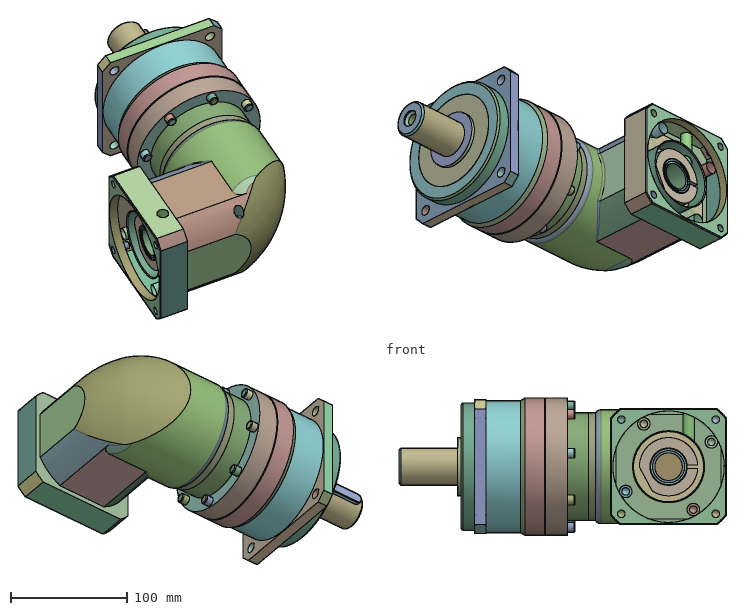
import cadquery as cq
import math

motor_x = 232.2
motor_face_y = -105.5

shaft_radius = 16.0
shaft_chamfer = 1.7
collar_start = 50.5
collar_radius = 25.0
centre_bore_radius = 5.0
centre_bore_depth = 22.5
centre_recess_radius = 7.3
centre_recess_depth = 1.5

key_start = 4.2
key_length = 40.5
key_width = 10.0
key_bottom = 11.0
key_top = 19.0
key_chamfer = 0.5

pilot_start = 53.3
pilot_radius = 55.0
pilot_chamfer = 1.7
face_recess_radius = 42.5
face_recess_depth = 0.3
plate_start = 65.2
plate_end = 74.8
plate_side = 115.5
plate_corner = 8.0
plate_hole_pitch = 92.0
plate_hole_diameter = 9.0
barrel_radius = 57.0
barrel_end = 104.7
rim_start = 108.5
rim_radius = 59.2
housing_end = 125.5

rear_groove_width = 0.5
rear_groove_depth = 0.5
ring_end = 145.0
neck_radius = 46.5
neck_end = 163.0
screw_count = 8
screw_circle_radius = 53.5
screw_first_angle = 32.5
screw_head_radius = 4.2
screw_head_height = 6.8
screw_head_chamfer = 0.8

elbow_shoulder = 168.7
elbow_round = 5.0
elbow_radius = 49.0
leg_radius = 51.0
leg_side = 90.3
outer_point = (245.0, 16.5)
outer_bulge = 10.5
outer_trim_depth = 22.5
outer_arc_radius = 107.2
outer_girth_radius = 76.2
crest_round = 19.7
throat_round = 1.7
plug_hole_x = 266.3
plug_hole_y = -22.0
plug_hole_diameter = 8.5
plug_hole_floor = 28.2

flange_side = 100.0
flange_thickness = 26.2
flange_corner_radius = 65.2
flange_edge_chamfer = 0.8
flange_hole_pitch = 81.2
flange_hole_diameter = 6.5
flange_hole_depth = 14.0
motor_pilot_radius = 48.0
motor_pilot_depth = 8.0
clamp_room_radius = 30.2
clamp_room_chamfer = 0.8
flange_screw_count = 4
flange_screw_circle_radius = 42.5
flange_screw_first_angle = 30.0
flange_screw_recess_diameter = 10.7
flange_screw_recess_depth = 18.3
flange_screw_socket_diameter = 6.5
flange_screw_socket_depth = 4.2
access_hole_diameter = 10.0
clamp_screw_offset = 17.5
clamp_screw_y = -87.0

clamp_face_depth = 12.7
clamp_radius = 25.0
clamp_slit_width = 2.8
clamp_flat_distance = 22.3
clamp_flat_angle = 208.0
clamp_screw_diameter = 6.2
clamp_screw_floor = 8.5
hub_radius = 16.0
hub_chamfer = 0.5
hub_length = 50.8
hub_bore_radius = 11.8
hub_bore_depth = 39.5
hub_mouth_radius = 13.8
hub_mouth_depth = 0.8

drill_tip_angle = 118.0

flange_back_y = motor_face_y + flange_thickness
clamp_face_y = motor_face_y + clamp_face_depth
pilot_floor_y = motor_face_y + motor_pilot_depth
clamp_length = flange_back_y - clamp_face_y
hub_end_y = clamp_face_y + hub_length


def cylinder_x(radius, start, end):
    """Round bar on the output axis."""
    return cq.Workplane("YZ", origin=(start, 0, 0)).circle(radius).extrude(end - start)


def motor_plane(y):
    """Plane square to the motor axis, facing -Y, with local x along X and local y along Z."""
    return cq.Workplane(cq.Plane(origin=(motor_x, y, 0), xDir=(1, 0, 0), normal=(0, -1, 0)))


def cylinder_y(radius, start, end):
    """Round bar on the motor axis."""
    return motor_plane(end).circle(radius).extrude(end - start)


def revolve_x(points):
    """Body of revolution about the output axis from (x, radius) points."""
    return cq.Workplane("XY").polyline(points).close().revolve(360, (0, 0, 0), (1, 0, 0))


def tip_length(radius):
    """Length of the cone that a drill leaves at the bottom of a hole."""
    return radius / math.tan(math.radians(drill_tip_angle / 2))


def drilled_hole(diameter, depth, entry_y, positions):
    """Blind drilled holes with conical tips, entering in the +Y direction."""
    radius = diameter / 2
    drill = (
        cq.Workplane("XY")
        .polyline([(0, 0), (radius, 0), (radius, depth), (0, depth + tip_length(radius))])
        .close()
        .revolve(360, (0, 0, 0), (0, 1, 0))
        .val()
    )
    holes = [drill.translate(cq.Vector(motor_x + x, entry_y, z)) for x, z in positions]
    return cq.Workplane("XY").newObject([cq.Compound.makeCompound(holes)])


def make_key():
    """Round-ended key on the +Y side of the shaft."""
    middle_x = key_start + key_length / 2
    return (
        cq.Workplane("XZ", origin=(middle_x, key_bottom, 0))
        .slot2D(key_length, key_width)
        .extrude(key_bottom - key_top)
        .faces(">Y")
        .chamfer(key_chamfer)
    )


def make_output_shaft(shaft_key):
    """Shaft with its seal collar, centre hole and key seat."""
    body = cylinder_x(shaft_radius, 0, collar_start).faces("<X").chamfer(shaft_chamfer)
    body = body.union(cylinder_x(collar_radius, collar_start, plate_start))
    cone_end = centre_recess_depth + centre_recess_radius - centre_bore_radius
    centre_bore = revolve_x([
        (0, 0),
        (0, centre_recess_radius),
        (centre_recess_depth, centre_recess_radius),
        (cone_end, centre_bore_radius),
        (centre_bore_depth, centre_bore_radius),
        (centre_bore_depth + tip_length(centre_bore_radius), 0),
    ])
    return body.cut(centre_bore).cut(shaft_key)


def make_front_housing():
    """Pilot, square mounting plate and round barrel."""
    body = revolve_x([
        (pilot_start, 0),
        (pilot_start, pilot_radius - pilot_chamfer),
        (pilot_start + pilot_chamfer, pilot_radius),
        (plate_start, pilot_radius),
        (plate_start, barrel_radius),
        (barrel_end, barrel_radius),
        (rim_start, rim_radius),
        (housing_end, rim_radius),
        (housing_end, 0),
    ])
    plate = (
        cq.Workplane("YZ", origin=(plate_start, 0, 0))
        .rect(plate_side, plate_side)
        .extrude(plate_end - plate_start)
        .edges("|X")
        .chamfer(plate_corner)
    )
    holes = (
        cq.Workplane("YZ", origin=(plate_start, 0, 0))
        .rect(plate_hole_pitch, plate_hole_pitch, forConstruction=True)
        .vertices()
        .circle(plate_hole_diameter / 2)
        .extrude(plate_end - plate_start)
    )
    face_recess = cylinder_x(face_recess_radius, pilot_start, pilot_start + face_recess_depth)
    shaft_seat = cylinder_x(collar_radius, pilot_start, plate_start)
    return body.union(plate).cut(holes).cut(face_recess).cut(shaft_seat)


def make_rear_ring():
    """Ring and neck, with a circle of screw heads on the rear face."""
    body = revolve_x([
        (housing_end, 0),
        (housing_end, rim_radius - rear_groove_depth),
        (housing_end + rear_groove_width, rim_radius - rear_groove_depth),
        (housing_end + rear_groove_width, rim_radius),
        (ring_end, rim_radius),
        (ring_end, neck_radius),
        (neck_end, neck_radius),
        (neck_end, 0),
    ])
    screw_heads = (
        cq.Workplane("YZ", origin=(ring_end, 0, 0))
        .polarArray(screw_circle_radius, screw_first_angle, 360, screw_count)
        .circle(screw_head_radius)
        .extrude(screw_head_height)
        .faces(">X")
        .chamfer(screw_head_chamfer)
    )
    return body.union(screw_heads)


def make_output_leg():
    """Round leg on the output axis, with a rounded shoulder behind its spigot."""
    spigot = cylinder_x(neck_radius, neck_end, motor_x)
    leg = cylinder_x(elbow_radius, elbow_shoulder, motor_x)
    return leg.faces("<X").edges().fillet(elbow_round).union(spigot)


def make_motor_leg():
    """Round leg on the motor axis, with four flats."""
    square = motor_plane(0).rect(leg_side, leg_side).extrude(-flange_back_y)
    return square.intersect(cylinder_y(leg_radius, flange_back_y, 0))


def make_bend():
    """Volume that the two crossing round legs share, out to the outer flat."""
    output_bar = cylinder_x(elbow_radius, motor_x - leg_side / 2, motor_x + 2 * leg_radius)
    shared = output_bar.intersect(cylinder_y(leg_radius, -leg_radius, leg_radius))
    crest = cq.selectors.BoxSelector(
        (motor_x, -leg_radius, -leg_radius), (motor_x + leg_radius, leg_radius, leg_radius)
    )
    outer_flat = motor_plane(leg_radius).rect(leg_side, 2 * leg_radius).extrude(2 * leg_radius)
    return shared.edges(crest).edges("%BSPLINE").fillet(crest_round).intersect(outer_flat)


def make_corner_trim():
    """Material outside the doubly curved outer corner of the bend."""
    half = 1.5 * leg_radius
    axis_height = outer_bulge - outer_girth_radius
    bend_plane = cq.Plane(origin=(*outer_point, 0), xDir=(1, -1, 0), normal=(0, 0, 1))
    end_radius = outer_girth_radius - outer_arc_radius + math.sqrt(outer_arc_radius**2 - half**2)
    dome = (
        cq.Workplane(bend_plane)
        .moveTo(-half, axis_height)
        .lineTo(-half, axis_height + end_radius)
        .threePointArc((0, outer_bulge), (half, axis_height + end_radius))
        .lineTo(half, axis_height)
        .close()
        .revolve(360, (0, axis_height, 0), (1, axis_height, 0))
    )
    block = (
        cq.Workplane(bend_plane)
        .center(0, half - outer_trim_depth)
        .rect(2 * half, 2 * half)
        .extrude(half, both=True)
    )
    return block.cut(dome)


def make_elbow():
    """Right-angle housing with rounded bend, plug hole and hub seat."""
    body = make_output_leg().union(make_motor_leg()).union(make_bend())
    throat = cq.selectors.BoxSelector(
        (motor_x - leg_radius, -elbow_radius, -leg_side / 2),
        (motor_x - leg_side / 4, -elbow_radius / 4, leg_side / 2),
    )
    body = body.edges(throat).fillet(throat_round)
    body = body.cut(make_corner_trim())
    plug_hole = (
        cq.Workplane("XY", origin=(plug_hole_x, plug_hole_y, plug_hole_floor))
        .circle(plug_hole_diameter / 2)
        .extrude(leg_radius - plug_hole_floor)
    )
    hub_seat = cylinder_y(hub_radius, flange_back_y, hub_end_y)
    return body.cut(plug_hole).cut(hub_seat)


def make_clamp_access():
    """Vertical hole that reaches the clamp screw from the top of the motor flange."""
    return (
        cq.Workplane("XY", origin=(motor_x + clamp_screw_offset, clamp_screw_y, clamp_screw_floor))
        .circle(access_hole_diameter / 2)
        .extrude(flange_side / 2 - clamp_screw_floor)
    )


def make_motor_flange():
    """Square flange with turned corners, motor pilot, clamp room and screw holes."""
    body = (
        motor_plane(flange_back_y)
        .rect(flange_side, flange_side)
        .extrude(flange_thickness)
        .intersect(cylinder_y(flange_corner_radius, motor_face_y, flange_back_y))
        .faces("<Y")
        .chamfer(flange_edge_chamfer)
    )
    pilot = cylinder_y(motor_pilot_radius, motor_face_y, pilot_floor_y)
    clamp_room = cylinder_y(clamp_room_radius, pilot_floor_y, flange_back_y)
    clamp_room_mouth = cq.Workplane("XY").newObject([
        cq.Solid.makeCone(
            clamp_room_radius + clamp_room_chamfer,
            clamp_room_radius,
            clamp_room_chamfer,
            pnt=cq.Vector(motor_x, pilot_floor_y, 0),
            dir=cq.Vector(0, 1, 0),
        )
    ])
    half_pitch = flange_hole_pitch / 2
    corners = [(x, z) for x in (-half_pitch, half_pitch) for z in (-half_pitch, half_pitch)]
    corner_holes = drilled_hole(flange_hole_diameter, flange_hole_depth, motor_face_y, corners)
    angles = [
        math.radians(flange_screw_first_angle + 360 / flange_screw_count * index)
        for index in range(flange_screw_count)
    ]
    screws = [
        (flange_screw_circle_radius * math.cos(angle), flange_screw_circle_radius * math.sin(angle))
        for angle in angles
    ]
    recess_floor_y = motor_face_y + flange_screw_recess_depth
    recesses = (
        motor_plane(recess_floor_y)
        .pushPoints(screws)
        .circle(flange_screw_recess_diameter / 2)
        .extrude(flange_screw_recess_depth)
    )
    sockets = drilled_hole(
        flange_screw_socket_diameter, flange_screw_socket_depth, recess_floor_y, screws
    )
    for void in (pilot, clamp_room, clamp_room_mouth, corner_holes, recesses, sockets):
        body = body.cut(void)
    return body.cut(make_clamp_access())


def make_clamp_ring():
    """Slit ring round the hub, with a flat and a clamp screw hole."""
    body = cylinder_y(clamp_radius, clamp_face_y, flange_back_y)
    body = body.cut(cylinder_y(hub_radius, clamp_face_y, flange_back_y))
    slit = (
        motor_plane(flange_back_y)
        .center(clamp_radius / 2, 0)
        .rect(clamp_radius, clamp_slit_width)
        .extrude(clamp_length)
    )
    flat = (
        motor_plane(flange_back_y)
        .transformed(rotate=(0, 0, clamp_flat_angle))
        .center(clamp_flat_distance + clamp_radius / 2, 0)
        .rect(clamp_radius, 2 * clamp_radius)
        .extrude(clamp_length)
    )
    screw_hole = (
        cq.Workplane("XY", origin=(motor_x + clamp_screw_offset, clamp_screw_y, clamp_screw_floor))
        .circle(clamp_screw_diameter / 2)
        .extrude(clamp_radius)
    )
    return body.cut(slit).cut(flat).cut(screw_hole)


def make_input_hub():
    """Blind hub that takes the motor shaft."""
    body = cylinder_y(hub_radius, clamp_face_y, hub_end_y).faces("<Y").chamfer(hub_chamfer)
    bore = cylinder_y(hub_bore_radius, clamp_face_y, clamp_face_y + hub_bore_depth)
    mouth = cylinder_y(hub_mouth_radius, clamp_face_y, clamp_face_y + hub_mouth_depth)
    return body.cut(bore).cut(mouth)


key = make_key()
output_shaft = make_output_shaft(key)
front_housing = make_front_housing()
rear_ring = make_rear_ring()
elbow = make_elbow()
motor_flange = make_motor_flange()
clamp_ring = make_clamp_ring()
input_hub = make_input_hub()

result = cq.Compound.makeCompound([
    output_shaft.val(),
    key.val(),
    front_housing.val(),
    rear_ring.val(),
    elbow.val(),
    motor_flange.val(),
    clamp_ring.val(),
    input_hub.val(),
])